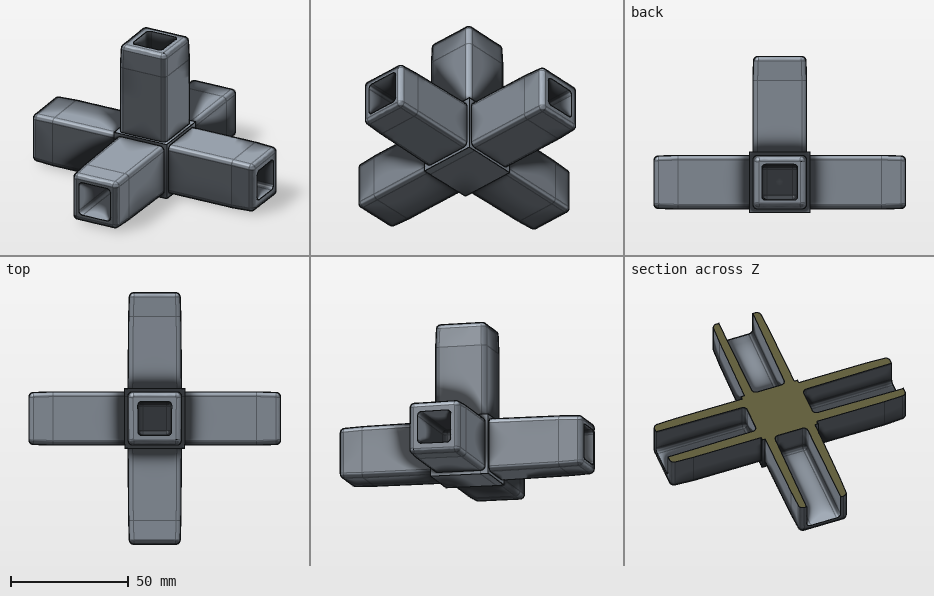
import cadquery as cq
import math


X_AXIS = (1, 0, 0)
Y_AXIS = (0, 1, 0)
Z_AXIS = (0, 0, 1)

hub_side = 25.4
plug_length = 40.64
plug_side = 22.86
side_plug_width = 22.66
y_plug_root_side = 22.75
corner_radius = 2.032
parting_y = side_plug_width / 2 - corner_radius
draft_angle = 0.5
draft = math.tan(math.radians(draft_angle))

lead_in_length = 10.16
lead_in_angle = 2.0
lead_in_inset = lead_in_length * math.tan(math.radians(lead_in_angle))
end_radius = 2.0

y_pocket_side = 15.24
side_pocket_width = 14.5
x_pocket_height = 14.0
z_pocket_height = 14.5
pocket_depth = plug_length
pocket_radius = 1.8

hub_face = hub_side / 2
plug_end = hub_face + plug_length
lead_in_start = plug_end - lead_in_length
pocket_floor = plug_end - pocket_depth


def reverse(direction):
    """Opposite of a direction."""
    return tuple(-component for component in direction)


def square_section(side):
    """Square centred on the plug axis."""
    return cq.Sketch().rect(side, side)


def drafted_section(width, height, inset=0.0):
    """Trapezoid, width along Y, whose full height is reached at the parting plane."""
    half_width = width / 2
    end = half_width - inset
    low = height / 2 - draft * (parting_y + half_width) - inset
    high = height / 2 + draft * (half_width - parting_y) - inset
    corners = [(-end, -low), (end, -high), (end, high), (-end, low), (-end, -low)]
    return cq.Sketch().polygon(corners)


def round_corners(section, radius):
    """Section with all its corners rounded."""
    return section.vertices().fillet(radius)


def loft_along(direction, x_direction, stations):
    """Straight-sided solid through sections placed at distances along an axis."""
    normal = cq.Vector(*direction)
    wires = []
    for distance, section in stations:
        plane = cq.Plane(normal * distance, x_direction, normal)
        wires.append(section.moved(plane.location).wires().val())
    return cq.Workplane(cq.Solid.makeLoft(wires, True))


def frustum(y_start, side_start, y_end, side_end):
    """Square frustum along Y."""
    stations = [(y_start, square_section(side_start)), (y_end, square_section(side_end))]
    return loft_along(Y_AXIS, X_AXIS, stations)


def make_hub():
    """Hub cube, widest at the parting plane and drafted both ways from it."""
    parting_side = hub_side + 2 * draft * (parting_y + hub_face)
    back_side = parting_side - 2 * draft * (hub_face - parting_y)
    front = frustum(-hub_face, hub_side, parting_y, parting_side)
    back = frustum(parting_y, parting_side, hub_face, back_side)
    return front.union(back)


def make_plug(direction, x_direction, root, shoulder, tip):
    """Plug from the hub face to its free end, with rounded long edges and a rounded rim."""
    stations = [
        (hub_face, round_corners(root, corner_radius)),
        (lead_in_start, round_corners(shoulder, corner_radius)),
        (plug_end, round_corners(tip, corner_radius)),
    ]
    plug = loft_along(direction, x_direction, stations)
    free_end = cq.selectors.DirectionMinMaxSelector(cq.Vector(*direction))
    return plug.faces(free_end).edges().fillet(end_radius)


def make_pocket(direction, x_direction, mouth, floor):
    """Blind pocket from the free end of a plug, rounded everywhere but around its mouth."""
    pocket = loft_along(direction, x_direction, [(pocket_floor, floor), (plug_end, mouth)])
    mouth_edges = cq.selectors.DirectionMinMaxSelector(cq.Vector(*direction))
    return pocket.edges(cq.selectors.InverseSelector(mouth_edges)).fillet(pocket_radius)


def make_side_plug(direction):
    """Plug along X or Z: constant along its length up to the lead-in."""
    body = drafted_section(side_plug_width, plug_side)
    tip = drafted_section(side_plug_width, plug_side, lead_in_inset)
    return make_plug(direction, Y_AXIS, body, body, tip)


def make_side_pocket(direction, height):
    """Blind pocket along X or Z, narrowing towards its floor."""
    mouth = drafted_section(side_pocket_width, height)
    floor = drafted_section(side_pocket_width, height, draft * pocket_depth)
    return make_pocket(direction, Y_AXIS, mouth, floor)


def make_y_plug(direction):
    """Plug along Y, drafted over its whole length."""
    shoulder_side = y_plug_root_side - 2 * draft * (lead_in_start - hub_face)
    root = square_section(y_plug_root_side)
    shoulder = square_section(shoulder_side)
    tip = square_section(shoulder_side - 2 * lead_in_inset)
    return make_plug(direction, X_AXIS, root, shoulder, tip)


def make_y_pocket(direction):
    """Blind pocket along Y, narrowing towards its floor."""
    mouth = square_section(y_pocket_side)
    floor = square_section(y_pocket_side - 2 * draft * pocket_depth)
    return make_pocket(direction, X_AXIS, mouth, floor)


side_directions = [
    (X_AXIS, x_pocket_height),
    (reverse(X_AXIS), x_pocket_height),
    (Z_AXIS, z_pocket_height),
]
y_directions = [Y_AXIS, reverse(Y_AXIS)]

result = make_hub()
for axis, pocket_height in side_directions:
    result = result.union(make_side_plug(axis)).cut(make_side_pocket(axis, pocket_height))
for axis in y_directions:
    result = result.union(make_y_plug(axis)).cut(make_y_pocket(axis))